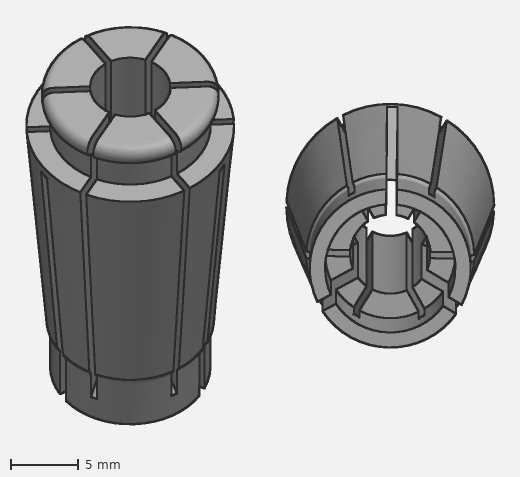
import cadquery as cq
import math

length = 30.5
bore_radius = 3.0

skirt_diameter = 12.0
skirt_radius = skirt_diameter / 2
skirt_height = 4.45
relief_bore_radius = 4.85
relief_bore_depth = 6.05

taper_bottom_radius = 6.25
taper_bottom_z = 5.15
taper_top_radius = 7.75
taper_top_z = 26.3

fillet_rise = taper_bottom_z - skirt_height
fillet_run = taper_bottom_radius - skirt_radius
fillet_radius = (fillet_rise**2 + fillet_run**2) / (2 * fillet_run)
fillet_half_angle = math.asin(fillet_rise / fillet_radius) / 2
fillet_middle = (
    skirt_radius + fillet_radius * (1 - math.cos(fillet_half_angle)),
    skirt_height + fillet_radius * math.sin(fillet_half_angle),
)

bead_max_radius = 6.6
bead_round = 0.88
bead_center_radius = bead_max_radius - bead_round
bead_center_z = length - bead_round
neck_radius = skirt_radius
neck_overlap = neck_radius - bead_center_radius
neck_top_z = bead_center_z - math.sqrt(bead_round**2 - neck_overlap**2)

top_slot_width = 0.5
top_slot_end_z = 2.2
top_slot_count = 6
top_slot_first_angle = 30
bottom_slot_width = 0.8
bottom_slot_end_z = 25.47
bottom_slot_count = 3
bottom_slot_first_angle = 0

slot_outer_radius = 9.15
clearance = 3.05


def make_body():
    """Revolve the outside outline about Z."""
    outline = (
        cq.Workplane("XZ")
        .lineTo(skirt_radius, 0)
        .lineTo(skirt_radius, skirt_height)
        .threePointArc(fillet_middle, (taper_bottom_radius, taper_bottom_z))
        .lineTo(taper_top_radius, taper_top_z)
        .lineTo(neck_radius, taper_top_z)
        .lineTo(neck_radius, neck_top_z)
        .threePointArc((bead_max_radius, bead_center_z), (bead_center_radius, length))
        .lineTo(0, length)
        .close()
    )
    return outline.revolve(360, (0, 0, 0), (0, 1, 0))


def make_bore():
    """Through bore with the wider relief bore at the bottom."""
    bore = cq.Workplane("XY").circle(bore_radius).extrude(length)
    relief = cq.Workplane("XY").circle(relief_bore_radius).extrude(relief_bore_depth)
    return bore.union(relief)


def make_slot(width, end_radius, end_z, open_z):
    """Radial slot along +X, open at open_z, with a 45 degree end through (end_radius, end_z)."""
    direction = math.copysign(1, open_z - end_z)
    axis_end_z = end_z + direction * end_radius
    outer_end_z = end_z - direction * (slot_outer_radius - end_radius)
    return (
        cq.Workplane("XZ")
        .moveTo(0, axis_end_z)
        .lineTo(slot_outer_radius, outer_end_z)
        .lineTo(slot_outer_radius, open_z)
        .lineTo(0, open_z)
        .close()
        .extrude(width / 2, both=True)
    )


def cut_slots(body, slot, count, first_angle):
    """Cut evenly spaced copies of the slot about Z."""
    for index in range(count):
        angle = first_angle + index * 360 / count
        body = body.cut(slot.rotate((0, 0, 0), (0, 0, 1), angle))
    return body


top_slot = make_slot(top_slot_width, skirt_radius, top_slot_end_z, length + clearance)
bottom_slot = make_slot(bottom_slot_width, taper_top_radius, bottom_slot_end_z, -clearance)

result = make_body().cut(make_bore())
result = cut_slots(result, top_slot, top_slot_count, top_slot_first_angle)
result = cut_slots(result, bottom_slot, bottom_slot_count, bottom_slot_first_angle)